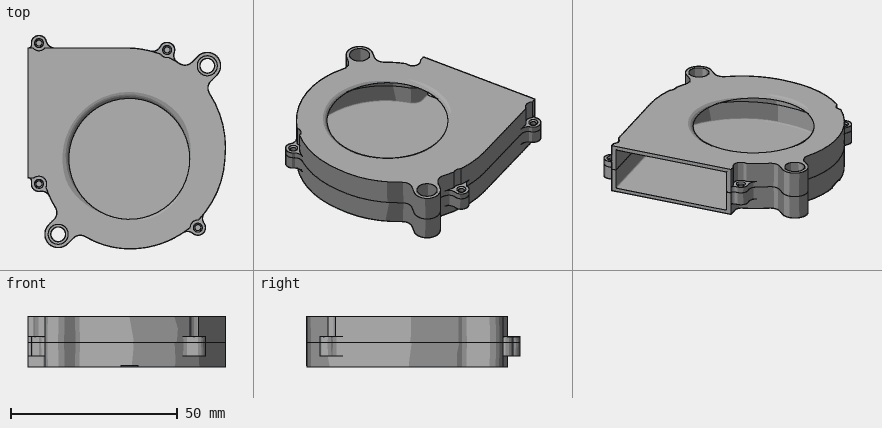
import cadquery as cq
import math


tolerance = 0.005

total_height = 15.2
split_height = 7.3
ear_bottom = 3.25
ear_top = 9.15

side_wall = 1.5
floor_thickness = 1.15
floor_fillet = 0.5

outlet_x = -30.4
top_y = 33.25
tongue_y = -5.7
first_arc_radius = 29.95
second_arc_radius = 28.45
third_arc_radius = 26.35
first_arc_start = (-1.1, top_y)
first_arc_end_y = 0.0
third_arc_start = (-1.3, -26.9)
tongue_end = (-25.65, tongue_y)
tongue_blend_radius = 2.0

inlet_radius = 18.1
inlet_mouth_radius = 19.95

boss_centres = [(23.35, 27.9), (-21.3, -22.6)]
boss_radius = 4.0
cover_boss_hole_radius = 3.0
shell_boss_hole_radius = 2.2
arm_length = 9.6
arm_blend_radius = 3.0

outlet_ear_x = -27.05
ear_blend_radius = 2.5
outlet_blend_radius = 0.75
tongue_ear_centre = (outlet_ear_x, -7.5)
ear_centres = [(outlet_ear_x, 34.7), tongue_ear_centre, (11.3, 32.6), (20.55, -20.6)]
ear_radius = 2.3
hollow_rounding = 0.75
screw_hole_radius = 0.9
countersink_radius = 1.35

notch_width = 5.1
notch_height = 0.5


def cylinder(centre, radius, bottom, top):
    """Upright cylinder between two heights."""
    return cq.Workplane("XY", origin=(*centre, bottom)).circle(radius).extrude(top - bottom)


def edges_at_distance(body, centre, distance):
    """Vertical edges of the body at a given plan distance from a centre."""

    def matches(edge):
        point = edge.Center()
        return abs(math.hypot(point.x - centre[0], point.y - centre[1]) - distance) < tolerance

    return body.edges("|Z").filter(matches)


def volute(height):
    """Plain volute block without bosses or ears, standing on Z = 0."""
    start_x, start_y = first_arc_start
    arc_centre_y = start_y - first_arc_radius
    first_arc_end_x = start_x + math.sqrt(first_arc_radius**2 - (first_arc_end_y - arc_centre_y) ** 2)
    block = (
        cq.Workplane("XY")
        .moveTo(outlet_x, top_y)
        .lineTo(start_x, start_y)
        .radiusArc((first_arc_end_x, first_arc_end_y), first_arc_radius)
        .radiusArc(third_arc_start, second_arc_radius)
        .radiusArc(tongue_end, third_arc_radius)
        .lineTo(outlet_x, tongue_y)
        .close()
        .extrude(height)
    )
    tongue_corner = edges_at_distance(block, tongue_end, 0)
    return tongue_corner.fillet(tongue_blend_radius)


def boss_arm(centre):
    """Boss post with a straight arm of the same width that runs in towards the volute."""
    inward_angle = 225 if centre[0] > 0 else 45
    arm = (
        cq.Workplane("XY")
        .box(arm_length, 2 * boss_radius, total_height, centered=(False, True, False))
        .rotate((0, 0, 0), (0, 0, 1), inward_angle)
    )
    return arm.translate(centre).union(cylinder(centre, boss_radius, 0, total_height))


def housing_block():
    """Volute with both bosses, the arms blended into its side."""
    block = volute(total_height)
    volute_corners = [edge.Center() for edge in block.edges("|Z").vals()]
    for centre in boss_centres:
        block = block.union(boss_arm(centre))

    def is_arm_corner(edge):
        point = edge.Center()
        boss_distance = min(math.hypot(point.x - x, point.y - y) for x, y in boss_centres)
        on_arm_side = boss_radius + tolerance < boss_distance < arm_length
        return on_arm_side and all((point - corner).Length > tolerance for corner in volute_corners)

    return block.edges("|Z").filter(is_arm_corner).fillet(arm_blend_radius)


def ear_layer():
    """Slab of the volute with the four ears blended into its side."""
    thickness = ear_top - ear_bottom
    slab = volute(thickness)
    for centre in ear_centres:
        slab = slab.union(cylinder(centre, ear_radius, 0, thickness))
    for centre in ear_centres:
        for corner in edges_at_distance(slab, centre, ear_radius).vals():
            if corner.Center().x > outlet_ear_x:
                slab = slab.newObject([corner]).fillet(ear_blend_radius)
    for centre, wall_y in [(ear_centres[0], top_y), (tongue_ear_centre, tongue_y)]:
        slab = slab.union(outlet_ear_web(centre, wall_y, thickness))
        web_corner = edges_at_distance(slab, (outlet_ear_x - ear_radius, wall_y), 0)
        slab = web_corner.fillet(outlet_blend_radius)
    return slab.translate((0, 0, ear_bottom))


def outlet_ear_web(centre, wall_y, thickness):
    """Straight-sided web from the outlet half of an ear down to the housing wall."""
    return (
        cq.Workplane("XY")
        .moveTo(outlet_ear_x - ear_radius, centre[1])
        .lineTo(outlet_ear_x, centre[1])
        .lineTo(outlet_ear_x, wall_y)
        .lineTo(outlet_ear_x - ear_radius, wall_y)
        .close()
        .extrude(thickness)
    )


def cavity():
    """Air space inside the housing, open at the outlet side."""
    height = total_height - 2 * floor_thickness
    outer_wire = volute(height).faces("<Z").wires().val()
    chamber = cq.Workplane("XY").add(outer_wire).toPending().offset2D(-side_wall).extrude(height)
    outlet_width = top_y - tongue_y - 2 * side_wall
    outlet = (
        cq.Workplane("XY")
        .box(3 * side_wall, outlet_width, height, centered=False)
        .translate((outlet_x - side_wall, tongue_y + side_wall, 0))
    )
    space = chamber.union(outlet).clean()
    return space.faces("<Z").edges().fillet(floor_fillet).translate((0, 0, floor_thickness))


def inlet():
    """Round inlet through the cover, its mouth curved out to meet the top face."""
    ceiling = total_height - floor_thickness
    flare = inlet_mouth_radius - inlet_radius
    lip_radius = (flare**2 + floor_thickness**2) / (2 * floor_thickness)
    return (
        cq.Workplane("XZ")
        .moveTo(0, ceiling)
        .lineTo(inlet_radius, ceiling)
        .radiusArc((inlet_mouth_radius, total_height), lip_radius)
        .lineTo(0, total_height)
        .close()
        .revolve(360, (0, 0, 0), (0, 1, 0))
    )


def screw_hole(centre):
    """Countersunk hole through the part of an ear that belongs to the cover."""
    hole = cylinder(centre, screw_hole_radius, split_height, ear_top)
    sink_depth = countersink_radius - screw_hole_radius
    sink = cq.Solid.makeCone(
        screw_hole_radius, countersink_radius, sink_depth, cq.Vector(*centre, ear_top - sink_depth)
    )
    return hole.union(cq.Workplane(sink))


def bottom_notch():
    """Wedge that slants off the bottom edge below the lowest part of the volute."""
    lowest_y = third_arc_start[1]
    return (
        cq.Workplane("YZ", origin=(-notch_width / 2, 0, 0))
        .moveTo(lowest_y - notch_height, 0)
        .lineTo(lowest_y + notch_height, 0)
        .lineTo(lowest_y - notch_height, 2 * notch_height)
        .close()
        .extrude(notch_width)
    )


def height_band(bottom, top):
    """Block wide enough to hold all of the housing between two heights."""
    side = 4 * first_arc_radius
    return cq.Workplane("XY", origin=(0, 0, bottom)).rect(side, side).extrude(top - bottom)


def make_lower_shell(housing):
    """Lower shell, with plain through holes in the bosses and a notch in its bottom edge."""
    shell = housing.intersect(height_band(0, split_height))
    for centre in boss_centres:
        shell = shell.cut(cylinder(centre, shell_boss_hole_radius, 0, split_height))
    return shell.cut(bottom_notch())


def make_cover(housing):
    """Upper cover, with the inlet, wide boss holes, screw holes and hollows above the ears.

    The hollow at the tongue has rounded corners.
    """
    cover = housing.intersect(height_band(split_height, total_height)).cut(inlet())
    for centre in boss_centres:
        cover = cover.cut(cylinder(centre, cover_boss_hole_radius, split_height, total_height))
    for centre in ear_centres:
        cover = cover.cut(cylinder(centre, ear_radius, ear_top, total_height))
        cover = cover.cut(screw_hole(centre))

    def is_above_ears(edge):
        return edge.Center().z > ear_top

    hollow_corners = edges_at_distance(cover, tongue_ear_centre, ear_radius).filter(is_above_ears)
    return hollow_corners.fillet(hollow_rounding)


housing = housing_block().union(ear_layer()).cut(cavity())
lower_shell = make_lower_shell(housing)
cover = make_cover(housing)

result = cq.Compound.makeCompound([lower_shell.val(), cover.val()])